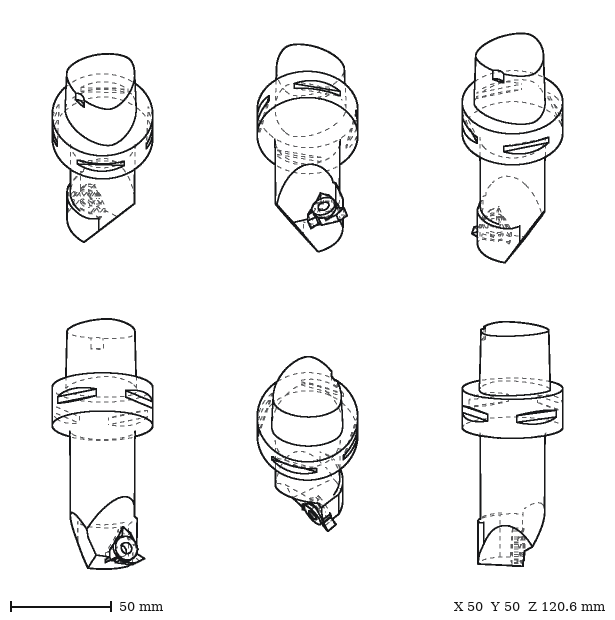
import cadquery as cq
import math

CUT_CLEARANCE = 1.2

TAPER_HEIGHT = 30.0
TAPER_BASE_RADIUS = 17.6
TAPER_SLOPE = 1 / 40
LOBE_HEIGHT = 1.5
LOBE_COUNT = 3
FIRST_LOBE_ANGLE = 90
LOBE_HALF_TURN = 38
SPLINE_STEPS = 6
NOTCH_RADIUS = 4.2
NOTCH_DEPTH = 5.5
NOTCH_CENTER_Y = -18.2

FLANGE_RADIUS = 50.0 / 2
FLANGE_HEIGHT = 19.8
FLANGE_CONE_HEIGHT = 2.2
NECK_FILLET = 1.2
GROOVE_Z = -10.0
GROOVE_FLOOR_DISTANCE = 22.1
GROOVE_FLOOR_HEIGHT = 3.4
GROOVE_WALL_ANGLE = 28
GROOVE_COUNT = 4
GROOVE_FIRST_ANGLE = 45

TOTAL_LENGTH = 120.6
SHANK_RADIUS = 32.0 / 2
NECK_RADIUS = 16.2
SHOULDER_Z = -66.1
HEAD_BOTTOM_Z = -88.9
HEAD_BEVEL_Z = -66.6
HEAD_BEVEL_ANGLE = 30
HEAD_BEVEL_FILLET = 0.7
HEAD_ARC_RADIUS = 15.9
HEAD_ARC_CENTER = (-1.2, -1.2)
SIDE_TOP = (-17.9, 3.6)
SIDE_ARC_ANGLE = 212
LOWEST_ARC_ANGLE = 270
BLEND_START_X = 0.0
BLEND_MIDDLE = (4.3, -16.5)
BLEND_END = (7.6, -15.0)
BLEND_MEETS_SHANK = (10.4, -12.3)
HEEL_BOTTOM_X = 4.3

RAKE_SLOPE_X = 0.27
RAKE_SLOPE_Z = 0.043
RAKE_POINT = (-17.5, 0.4, HEAD_BOTTOM_Z)
CREASE_X = -16.0
CREASE_Z = -64.4
RELIEF_NORMAL = (-0.54, 0.57, -0.62)
RELIEF_FILLET = 2.4
CUTTER_SIZE = 72.4

INSERT_CENTER_X = -11.2
INSERT_THICKNESS = 6.3
INSERT_PROUD = 1.1
INSERT_HOLE_DIAMETER = 5.7
TOOTH_TIP = (-10.4, -3.9)
TOOTH_HALF_ANGLE = 30
TOOTH_BACK_FLANK = 4.6
RECESS_ROOT = (-6.0, -0.5)
EDGE_DISTANCE = 6.4
EDGE_END = 3.0
CORNERS = 3
HUB_RADIUS = 6.0
RAMP_WIDTH = 9.7
TIP_SINK = 0.6

RAKE_NORMAL = cq.Vector(-RAKE_SLOPE_X, 1, -RAKE_SLOPE_Z).normalized()
UP_ALONG_RAKE = (-RAKE_NORMAL).cross(cq.Vector(1, RAKE_SLOPE_X, 0).normalized())
CORNER_PITCH = 2 * math.pi / CORNERS
TIP_DROP = -TOOTH_TIP[0] * math.sin(CORNER_PITCH) - TOOTH_TIP[1] * math.cos(CORNER_PITCH)
INSERT_CENTER_Z = (
    TAPER_HEIGHT - TOTAL_LENGTH + TIP_DROP * UP_ALONG_RAKE.z - (INSERT_PROUD - TIP_SINK) * RAKE_NORMAL.z
)


def lobed_point(normal_angle, z):
    """Point of the constant-width lobed outline whose outward normal has the given direction."""
    a = math.radians(normal_angle)
    lobe = LOBE_COUNT * (a - math.radians(FIRST_LOBE_ANGLE))
    reach = TAPER_BASE_RADIUS - TAPER_SLOPE * z + LOBE_HEIGHT * math.cos(lobe)
    turn = -LOBE_COUNT * LOBE_HEIGHT * math.sin(lobe)
    x = reach * math.cos(a) - turn * math.sin(a)
    y = reach * math.sin(a) + turn * math.cos(a)
    return cq.Vector(x, y, z)


def lobed_edge(start, end, z):
    """Stretch of the lobed outline between two normal directions, in degrees."""
    step = (end - start) / SPLINE_STEPS
    points = [lobed_point(start + step * i, z) for i in range(SPLINE_STEPS + 1)]
    tangents = [
        cq.Vector(-math.sin(math.radians(angle)), math.cos(math.radians(angle)), 0)
        for angle in (start, end)
    ]
    return cq.Edge.makeSpline(points, tangents=tangents)


def lobed_wire(z):
    """Outline of the taper at height Z, with one lobe towards +Y."""
    pitch = 360 / LOBE_COUNT
    edges = []
    for i in range(LOBE_COUNT):
        lobe = FIRST_LOBE_ANGLE + pitch * i
        lobe_end = lobe + LOBE_HALF_TURN
        edges.append(lobed_edge(lobe - LOBE_HALF_TURN, lobe_end, z))
        edges.append(lobed_edge(lobe_end, lobe + pitch - LOBE_HALF_TURN, z))
    return cq.Wire.assembleEdges(edges)


def make_taper():
    taper = cq.Workplane(cq.Solid.makeLoft([lobed_wire(0), lobed_wire(TAPER_HEIGHT)], True))
    notch = (
        cq.Workplane("XY", origin=(0, NOTCH_CENTER_Y, TAPER_HEIGHT))
        .circle(NOTCH_RADIUS)
        .extrude(-NOTCH_DEPTH)
    )
    return taper.cut(notch)


def ring_at(z):
    """Selector of the circular edge around the shank at height Z."""
    reach = FLANGE_RADIUS
    margin = 0.1
    return cq.selectors.BoxSelector((-reach, -reach, z - margin), (reach, reach, z + margin))


def make_flange_and_shank():
    cone_end_z = -FLANGE_HEIGHT - FLANGE_CONE_HEIGHT
    profile = [
        (0, 0),
        (FLANGE_RADIUS, 0),
        (FLANGE_RADIUS, -FLANGE_HEIGHT),
        (NECK_RADIUS, cone_end_z),
        (SHANK_RADIUS, SHOULDER_Z),
        (SHANK_RADIUS, HEAD_BOTTOM_Z),
        (0, HEAD_BOTTOM_Z),
    ]
    body = cq.Workplane("XZ").polyline(profile).close().revolve(360, (0, 0), (0, 1))
    return body.edges(ring_at(cone_end_z)).fillet(NECK_FILLET)


def make_gripper_groove(angle):
    outer_x = FLANGE_RADIUS + CUT_CLEARANCE
    half_floor = GROOVE_FLOOR_HEIGHT / 2
    half_mouth = half_floor + (outer_x - GROOVE_FLOOR_DISTANCE) * math.tan(math.radians(GROOVE_WALL_ANGLE))
    groove = (
        cq.Workplane("XZ", origin=(0, 0, GROOVE_Z))
        .moveTo(GROOVE_FLOOR_DISTANCE, -half_floor)
        .lineTo(outer_x, -half_mouth)
        .lineTo(outer_x, half_mouth)
        .lineTo(GROOVE_FLOOR_DISTANCE, half_floor)
        .close()
        .extrude(FLANGE_RADIUS, both=True)
    )
    return groove.rotate((0, 0, 0), (0, 0, 1), angle)


def make_head():
    """Enlarged lower end, bevelled where it rises out of the shank."""
    center_x, center_y = HEAD_ARC_CENTER

    def on_arc(angle):
        a = math.radians(angle)
        return center_x + HEAD_ARC_RADIUS * math.cos(a), center_y + HEAD_ARC_RADIUS * math.sin(a)

    lowest_y = center_y - HEAD_ARC_RADIUS
    block = (
        cq.Workplane("XY", origin=(0, 0, HEAD_BOTTOM_Z))
        .moveTo(0, SIDE_TOP[1])
        .lineTo(*SIDE_TOP)
        .lineTo(*on_arc(SIDE_ARC_ANGLE))
        .threePointArc(on_arc((SIDE_ARC_ANGLE + LOWEST_ARC_ANGLE) / 2), (center_x, lowest_y))
        .lineTo(BLEND_START_X, lowest_y)
        .threePointArc(BLEND_MIDDLE, BLEND_END)
        .lineTo(*BLEND_MEETS_SHANK)
        .lineTo(0, 0)
        .close()
        .extrude(SHOULDER_Z - HEAD_BOTTOM_Z)
    )
    return block.intersect(make_head_bevel())


def make_head_bevel():
    """Round envelope of the head: shank, fillet, then a cone spreading downwards."""
    bevel_drop = (FLANGE_RADIUS - SHANK_RADIUS) * math.tan(math.radians(HEAD_BEVEL_ANGLE))
    profile = [
        (0, HEAD_BOTTOM_Z),
        (FLANGE_RADIUS, HEAD_BOTTOM_Z),
        (FLANGE_RADIUS, HEAD_BEVEL_Z - bevel_drop),
        (SHANK_RADIUS, HEAD_BEVEL_Z),
        (SHANK_RADIUS, SHOULDER_Z + CUT_CLEARANCE),
        (0, SHOULDER_Z + CUT_CLEARANCE),
    ]
    envelope = cq.Workplane("XZ").polyline(profile).close().revolve(360, (0, 0), (0, 1))
    return envelope.edges(ring_at(HEAD_BEVEL_Z)).fillet(HEAD_BEVEL_FILLET)


def make_heel_cut():
    return (
        cq.Workplane("XZ")
        .moveTo(SHANK_RADIUS, SHOULDER_Z)
        .lineTo(HEEL_BOTTOM_X, HEAD_BOTTOM_Z)
        .lineTo(SHANK_RADIUS, HEAD_BOTTOM_Z)
        .close()
        .extrude(FLANGE_RADIUS, both=True)
    )


def rake_point(x, z):
    """Point of the rake face at the given X and Z."""
    start_x, start_y, start_z = RAKE_POINT
    return cq.Vector(x, start_y + RAKE_SLOPE_X * (x - start_x) + RAKE_SLOPE_Z * (z - start_z), z)


def make_rake_cut():
    """Wedge between the rake face and the relief face, rounded along their crease."""
    relief_normal = cq.Vector(*RELIEF_NORMAL).normalized()
    crease = RAKE_NORMAL.cross(relief_normal).normalized()
    origin = rake_point(CREASE_X, CREASE_Z)
    along_rake = RAKE_NORMAL.cross(crease)
    if along_rake.dot(relief_normal) < 0:
        along_rake = -along_rake
    along_relief = relief_normal.cross(crease)
    if along_relief.dot(RAKE_NORMAL) < 0:
        along_relief = -along_relief
    plane = cq.Plane(origin, along_rake, crease)
    rake_end = plane.toLocalCoords(origin + along_rake * CUTTER_SIZE)
    relief_end = plane.toLocalCoords(origin + along_relief * CUTTER_SIZE)
    wedge = (
        cq.Workplane(plane)
        .lineTo(rake_end.x, rake_end.y)
        .lineTo(relief_end.x, relief_end.y)
        .close()
        .extrude(CUTTER_SIZE, both=True)
    )
    return wedge.edges(cq.selectors.NearestToPointSelector(origin.toTuple())).fillet(RELIEF_FILLET)


def turned(point, corner):
    """Turn a point of the insert outline about the insert centre to another corner."""
    a = CORNER_PITCH * corner
    x, y = point
    return x * math.cos(a) - y * math.sin(a), x * math.sin(a) + y * math.cos(a)


def insert_place():
    """Location of the insert: local Y is up and local Z runs into the holder from its top face."""
    top_center = rake_point(INSERT_CENTER_X, INSERT_CENTER_Z) + RAKE_NORMAL * INSERT_PROUD
    return cq.Location(cq.Plane(top_center, cq.Vector(1, RAKE_SLOPE_X, 0), -RAKE_NORMAL))


def insert_outline(with_recesses):
    a = math.radians(TOOTH_HALF_ANGLE)
    tip_x, tip_y = TOOTH_TIP
    flank_drop = tip_y + EDGE_DISTANCE
    flank_end = (tip_x + TOOTH_BACK_FLANK * math.cos(a), tip_y + TOOTH_BACK_FLANK * math.sin(a))
    edge_start = (tip_x + flank_drop / math.tan(a), -EDGE_DISTANCE)
    edge_end = (EDGE_END, -EDGE_DISTANCE)
    points = []
    for corner in range(CORNERS):
        if with_recesses:
            points.append(turned(RECESS_ROOT, corner))
            points.append(turned(flank_end, corner))
        points.append(turned(TOOTH_TIP, corner))
        points.append(turned(edge_start, corner))
        points.append(turned(edge_end, corner))
    return points


def make_tooth_rake():
    """Cutter for the chip face of one tooth, sinking from the tip towards the round hub."""
    ramp_start = TOOTH_TIP[0] - TIP_SINK / RAKE_SLOPE_X
    ramp = (
        cq.Workplane("XZ", origin=(0, -EDGE_DISTANCE, 0))
        .moveTo(ramp_start, 0)
        .lineTo(0, 0)
        .lineTo(0, -ramp_start * RAKE_SLOPE_X)
        .close()
        .extrude(-RAMP_WIDTH)
    )
    hub = cq.Workplane("XY").circle(HUB_RADIUS).extrude(INSERT_THICKNESS)
    return ramp.cut(hub)


def make_insert():
    insert = (
        cq.Workplane("XY")
        .polyline(insert_outline(with_recesses=True))
        .close()
        .circle(INSERT_HOLE_DIAMETER / 2)
        .extrude(INSERT_THICKNESS)
    )
    for corner in range(CORNERS):
        insert = insert.cut(make_tooth_rake().rotate((0, 0, 0), (0, 0, 1), 360 / CORNERS * corner))
    return cq.Workplane(insert.val().moved(insert_place()))


def make_insert_pocket():
    pocket = (
        cq.Workplane("XY")
        .polyline(insert_outline(with_recesses=False))
        .close()
        .extrude(INSERT_THICKNESS)
    )
    return cq.Workplane(pocket.val().moved(insert_place()))


def make_holder():
    holder = make_flange_and_shank().union(make_taper()).union(make_head())
    for i in range(GROOVE_COUNT):
        holder = holder.cut(make_gripper_groove(GROOVE_FIRST_ANGLE + 360 / GROOVE_COUNT * i))
    return holder.cut(make_heel_cut()).cut(make_rake_cut()).cut(make_insert_pocket())


holder = make_holder()
threading_insert = make_insert()
result = cq.Compound.makeCompound([holder.solids().val(), threading_insert.solids().val()])